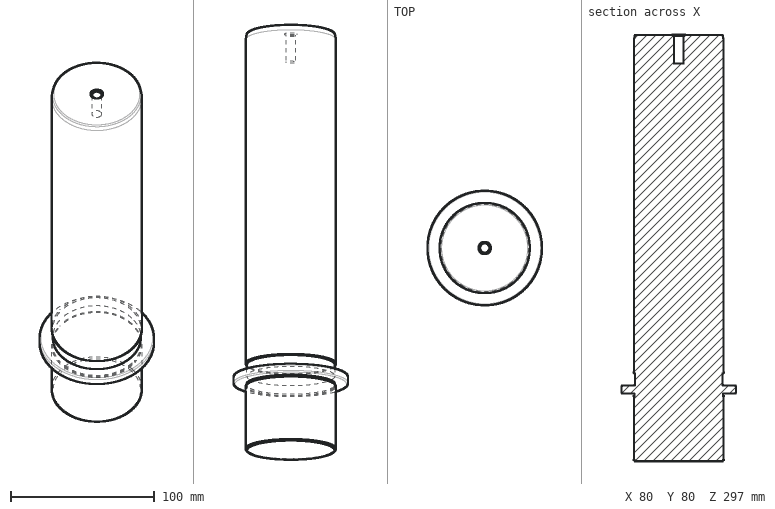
import cadquery as cq

TOTAL_LENGTH = 297.0
BODY_RADIUS = 63.0 / 2

SHANK_LENGTH = 47.0
SHANK_CHAMFER = 1.0
RELIEF_WIDTH = 1.5
RELIEF_DEPTH = 0.5

FLANGE_RADIUS = 80.0 / 2
FLANGE_THICKNESS = 6.0
FLANGE_ROUNDING = 1.0

NECK_RADIUS = 61.5 / 2
NECK_LENGTH = 8.0

LEAD_LENGTH = 4.0
LEAD_DEPTH = 0.7
TIP_ROUNDING = 1.0

HOLE_DIAMETER = 6.6
HOLE_DEPTH = 20.0
HOLE_MOUTH_DIAMETER = 8.6

FLANGE_TOP = SHANK_LENGTH + FLANGE_THICKNESS
NECK_TOP = FLANGE_TOP + NECK_LENGTH
NECK_STEP = BODY_RADIUS - NECK_RADIUS


def turned_body():
    """Revolve the stepped half profile (radius, height) about the Z axis."""
    relief_radius = BODY_RADIUS - RELIEF_DEPTH
    relief_bottom = SHANK_LENGTH - RELIEF_WIDTH
    profile = [
        (0, 0),
        (BODY_RADIUS - SHANK_CHAMFER, 0),
        (BODY_RADIUS, SHANK_CHAMFER),
        (BODY_RADIUS, relief_bottom),
        (relief_radius, relief_bottom + RELIEF_DEPTH),
        (relief_radius, SHANK_LENGTH),
        (FLANGE_RADIUS, SHANK_LENGTH),
        (FLANGE_RADIUS, FLANGE_TOP),
        (NECK_RADIUS, FLANGE_TOP),
        (NECK_RADIUS, NECK_TOP),
        (BODY_RADIUS, NECK_TOP + NECK_STEP),
        (BODY_RADIUS, TOTAL_LENGTH - LEAD_LENGTH),
        (BODY_RADIUS - LEAD_DEPTH, TOTAL_LENGTH),
        (0, TOTAL_LENGTH),
    ]
    return cq.Workplane("XZ").polyline(profile).close().revolve(360, (0, 0), (0, 1))


def round_edges(body):
    """Round the two flange rims and the rim of the top face."""
    flange_rims = cq.selectors.RadiusNthSelector(-1)
    body = body.edges(flange_rims).fillet(FLANGE_ROUNDING)
    return body.faces(">Z").edges().fillet(TIP_ROUNDING)


def top_hole():
    """Flat-bottomed hole with a 45 degree countersunk mouth."""
    hole_radius = HOLE_DIAMETER / 2
    mouth_radius = HOLE_MOUTH_DIAMETER / 2
    mouth_depth = mouth_radius - hole_radius
    profile = [
        (0, TOTAL_LENGTH - HOLE_DEPTH),
        (hole_radius, TOTAL_LENGTH - HOLE_DEPTH),
        (hole_radius, TOTAL_LENGTH - mouth_depth),
        (mouth_radius, TOTAL_LENGTH),
        (0, TOTAL_LENGTH),
    ]
    return cq.Workplane("XZ").polyline(profile).close().revolve(360, (0, 0), (0, 1))


result = round_edges(turned_body()).cut(top_hole())